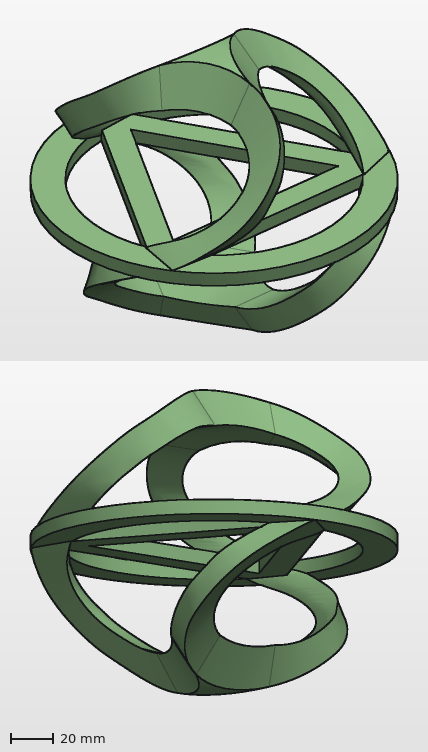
import cadquery as cq
import math

RING_RADIUS = 86.5
RING_INNER_RADIUS = 70.0
PLATE_THICKNESS = 7.0
FRAME_OUTER_INRADIUS = 43.2
FRAME_INNER_INRADIUS = 29.8

ARM_COUNT = 3
ARM_ANGLE = 360.0 / ARM_COUNT

HUB_TOP_MIDDLE = (0.0, -8.3, 71.3)
HUB_BOTTOM_MIDDLE = (0.0, -21.8, 52.5)

CREST = [
    (22.3, -13.8, 68.2),
    (37.2, -24.0, 60.9),
    (46.2, -39.3, 49.1),
    (47.0, -47.5, 43.2),
    (45.8, -55.7, 36.7),
    (35.5, -72.5, 21.1),
    (22.5, -80.8, 11.5),
    (8.6, -85.8, 3.5),
    (0.0, -86.3, 0.0),
]
CONCAVE_EDGE = [
    (16.8, -24.9, 50.3),
    (24.9, -30.8, 46.7),
    (30.8, -39.1, 40.7),
    (32.3, -47.4, 34.6),
    (29.8, -55.7, 27.7),
    (21.3, -64.0, 19.0),
    (9.9, -68.5, 12.1),
    (-9.7, -69.9, 3.8),
    (-15.5, -69.2, 0.0),
]
CONVEX_EDGE = [
    (29.0, -4.2, 50.3),
    (40.5, -18.5, 45.0),
    (45.5, -31.8, 36.0),
    (46.0, -39.1, 30.8),
    (44.5, -45.8, 25.6),
    (42.2, -52.4, 19.9),
    (34.5, -60.4, 12.0),
    (26.6, -64.5, 6.7),
    (15.5, -69.2, 0.0),
]


def turned(point, degrees):
    """Turn a point about the Z axis."""
    x, y, z = point
    angle = math.radians(degrees)
    return cq.Vector(
        x * math.cos(angle) - y * math.sin(angle),
        x * math.sin(angle) + y * math.cos(angle),
        z,
    )


def triangle_face(corners):
    return cq.Face.makeFromWires(cq.Wire.makePolygon(corners, close=True))


def solid_from(faces):
    solid = cq.Solid.makeSolid(cq.Shell.makeShell(faces))
    return solid.fix()


def make_arm():
    lines = [CREST, CONCAVE_EDGE, CONVEX_EDGE]
    edges = [cq.Edge.makeSpline([cq.Vector(*p) for p in line]) for line in lines]
    faces = [cq.Face.makeRuledSurface(edges[i - 1], edges[i]) for i in range(len(edges))]
    for end in (0, -1):
        faces.append(triangle_face([cq.Vector(*line[end]) for line in lines]))
    return solid_from(faces)


def make_hub():
    faces = []
    top_edges = []
    bottom_edges = []
    for i in range(ARM_COUNT):
        angle = i * ARM_ANGLE
        top = cq.Edge.makeThreePointArc(
            turned(CREST[0], angle - ARM_ANGLE), turned(HUB_TOP_MIDDLE, angle), turned(CREST[0], angle)
        )
        bottom = cq.Edge.makeThreePointArc(
            turned(CONVEX_EDGE[0], angle - ARM_ANGLE),
            turned(HUB_BOTTOM_MIDDLE, angle),
            turned(CONCAVE_EDGE[0], angle),
        )
        top_edges.append(top)
        bottom_edges.append(bottom)
        bottom_edges.append(
            cq.Edge.makeLine(turned(CONCAVE_EDGE[0], angle), turned(CONVEX_EDGE[0], angle))
        )
        faces.append(cq.Face.makeRuledSurface(top, bottom))
        arm_end = [CREST[0], CONCAVE_EDGE[0], CONVEX_EDGE[0]]
        faces.append(triangle_face([turned(p, angle) for p in arm_end]))
    faces.append(cq.Face.makeNSidedSurface(top_edges, []))
    faces.append(cq.Face.makeNSidedSurface(bottom_edges, []))
    return solid_from(faces)


def make_cage():
    cage = cq.Workplane(make_hub())
    arm = cq.Workplane(make_arm())
    for i in range(ARM_COUNT):
        cage = cage.union(arm.rotate((0, 0, 0), (0, 0, 1), i * ARM_ANGLE))
    return cage


def centred_plate():
    return cq.Workplane("XY").workplane(offset=-PLATE_THICKNESS / 2)


def triangle_prism(inradius):
    """Triangular prism with one corner toward -Y."""
    corner_diameter = 4 * inradius
    prism = centred_plate().polygon(3, corner_diameter).extrude(PLATE_THICKNESS)
    return prism.rotate((0, 0, 0), (0, 0, 1), -90)


def make_base():
    disc = centred_plate().circle(RING_RADIUS).extrude(PLATE_THICKNESS)
    ring = disc.cut(centred_plate().circle(RING_INNER_RADIUS).extrude(PLATE_THICKNESS))
    frame = triangle_prism(FRAME_OUTER_INRADIUS).cut(triangle_prism(FRAME_INNER_INRADIUS))
    return ring.union(frame.intersect(disc))


upper_cage = make_cage()
lower_cage = upper_cage.rotate((0, 0, 0), (0, 1, 0), 180)

result = make_base().union(upper_cage).union(lower_cage)